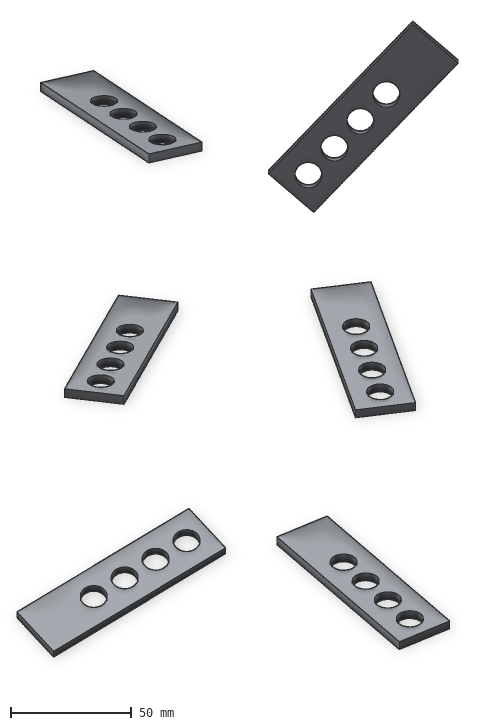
import cadquery as cq

length = 88.9
width = 25.4
thickness = 4.0

hole_diameter = 11.18
hole_count = 4
hole_pitch = 16.0
end_distance = 10.668


def make_bar():
    """Rectangular bar centred in X and Y, resting on Z = 0."""
    return cq.Workplane("XY").box(length, width, thickness, centered=(True, True, False))


def cut_hole_row(bar):
    """Cut the evenly spaced through holes, starting from the +X end."""
    last_hole_x = length / 2 - end_distance
    centres = [(last_hole_x - i * hole_pitch, 0) for i in range(hole_count)]
    holes = cq.Workplane("XY").pushPoints(centres).circle(hole_diameter / 2).extrude(thickness)
    return bar.cut(holes)


result = cut_hole_row(make_bar())